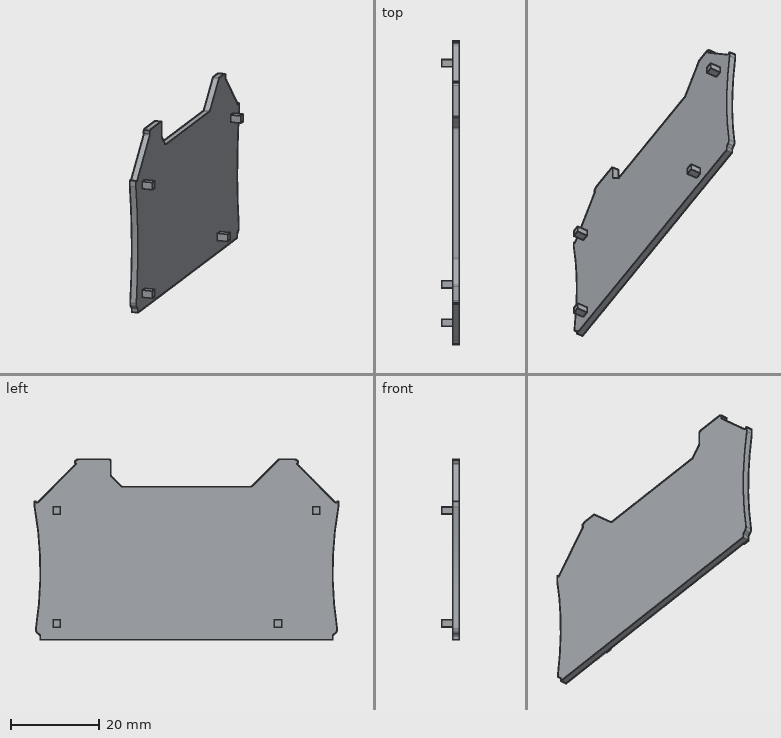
import cadquery as cq
import math

plate_thickness = 1.5
peg_length = 2.48
peg_side = 1.68

half_width = 34.44
height = 40.95

foot_half_width = 33.15
lip_inner_z = 1.0
lip_inner_radius = 0.35
lip_half_width = 34.22
lip_z = 1.9
lip_radius = 1.1

waist_bottom = (34.14, 2.58)
waist_middle = (33.14, 16.26)
shoulder_z = 30.1

spur_apex_z = 31.73
spur_radius = 0.15
spur_root = (34.02, 31.15)
slope_foot_y = 33.7
slope_foot_radius = 0.55

slope_head = (25.02, 39.87)
bump_y = 25.27
bump_low_z = 40.1
bump_high_z = 40.55
bump_end = (24.92, 40.71)
top_edge_y = 24.66
top_edge_radius = 0.8

notch_floor_z = 34.72
notch_wall_y = 17.15
notch_floor_left_y = 14.7
notch_floor_right_y = -14.73

corner_radius = 0.5
tiny_radius = 0.15

peg_outer_y = 29.4
peg_inner_y = -20.7
peg_low_z = 3.74
peg_high_z = 29.3
peg_centres = [
    (peg_outer_y, peg_low_z),
    (peg_outer_y, peg_high_z),
    (-peg_outer_y, peg_high_z),
    (peg_inner_y, peg_low_z),
]


def side_corners():
    """Corners (y, z, radius) of the +Y side, from the bottom up to the top edge."""
    return [
        (foot_half_width, 0, tiny_radius),
        (foot_half_width, lip_inner_z, lip_inner_radius),
        (lip_half_width, lip_z, lip_radius),
        (*waist_bottom, 0),
        (half_width, shoulder_z, 0),
        (half_width, spur_apex_z, spur_radius),
        (*spur_root, 0),
        (slope_foot_y, spur_root[1], slope_foot_radius),
        (*slope_head, tiny_radius),
        (bump_y, bump_low_z, tiny_radius),
        (bump_y, bump_high_z, tiny_radius),
        (*bump_end, 0),
        (top_edge_y, height, top_edge_radius),
    ]


def notch_corners():
    """Corners (y, z, radius) of the top notch, from its +Y wall to its -Y flank."""
    flank_top_z = notch_floor_z + notch_wall_y - notch_floor_left_y
    flank_top_y = notch_floor_right_y - (height - notch_floor_z)
    return [
        (notch_wall_y, height, corner_radius),
        (notch_wall_y, flank_top_z, corner_radius),
        (notch_floor_left_y, notch_floor_z, corner_radius),
        (notch_floor_right_y, notch_floor_z, corner_radius),
        (flank_top_y, height, corner_radius),
    ]


def corner_arc(before, corner, after):
    """Start, middle and end of the arc that rounds a corner."""
    point = cq.Vector(corner[0], corner[1])
    to_before = (cq.Vector(before[0], before[1]) - point).normalized()
    to_after = (cq.Vector(after[0], after[1]) - point).normalized()
    half_angle = to_before.getAngle(to_after) / 2
    radius = corner[2]
    setback = radius / math.tan(half_angle)
    middle_distance = radius / math.sin(half_angle) - radius
    bisector = (to_before + to_after).normalized()
    points = (
        point + to_before * setback,
        point + bisector * middle_distance,
        point + to_after * setback,
    )
    return [(p.x, p.y) for p in points]


def rounded_outline(corners):
    """Closed YZ wire through the corners, with straight sides, starting at the middle of the last side."""
    first = corners[0]
    last = corners[-1]
    wire = cq.Workplane("YZ").moveTo((first[0] + last[0]) / 2, (first[1] + last[1]) / 2)
    for index, corner in enumerate(corners):
        if corner[2] == 0:
            wire = wire.lineTo(*corner[:2])
            continue
        following = corners[(index + 1) % len(corners)]
        start, middle, end = corner_arc(corners[index - 1], corner, following)
        wire = wire.lineTo(*start).threePointArc(middle, end)
    return wire.close()


def make_waist(side):
    """Cutter between the waist arc and its chord; side is 1 for +Y and -1 for -Y."""
    cutter = cq.Workplane("YZ").moveTo(side * waist_bottom[0], waist_bottom[1])
    cutter = cutter.threePointArc(
        (side * waist_middle[0], waist_middle[1]),
        (side * half_width, shoulder_z),
    )
    return cutter.close().extrude(plate_thickness)


def make_plate():
    left = side_corners()
    right = [(-y, z, radius) for y, z, radius in reversed(left)]
    plate = rounded_outline(left + notch_corners() + right).extrude(plate_thickness)
    for side in (1, -1):
        plate = plate.cut(make_waist(side))
    return plate


def make_pegs():
    """Square pegs standing out from the plate face at X = 0."""
    pegs = cq.Workplane("YZ").pushPoints(peg_centres).rect(peg_side, peg_side)
    return pegs.extrude(-peg_length)


result = make_plate().union(make_pegs())